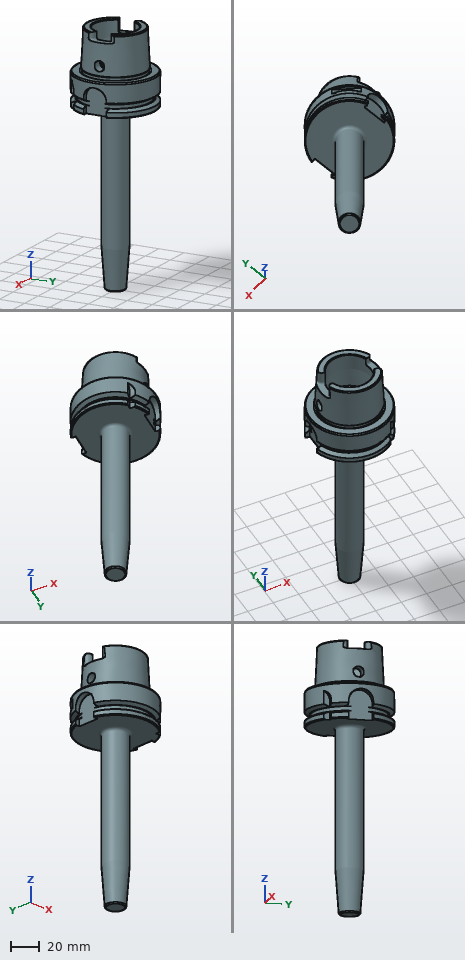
import cadquery as cq
import math

total_length = 192.0
taper_height = 32.0

flange_radius = 31.5
flange_height = 26.0
flange_top_chamfer_width = 0.8
flange_top_chamfer_height = 1.2
flange_bottom_chamfer = 0.8
groove_floor_radius = 27.3
groove_wall_radius = 28.2
groove_middle = 18.2
groove_rim_width = 7.0
groove_wall_angle = 30.0
groove_wall_height = (flange_radius - groove_wall_radius) * math.tan(math.radians(groove_wall_angle))

taper_slope = 1 / 20
taper_base_radius = 24.4
taper_start = 2.3
taper_top_chamfer = 0.8
neck_radius = 23.6
relief_outer_radius = 25.2
relief_depth = 0.8

bore_radius = 17.0
bore_straight_depth = 13.2
bore_lip_chamfer = 0.5
bore_floor_radius = 15.7
bore_floor = 4.5
thread_radius = 9.0
thread_depth = 11.5
thread_chamfer = 0.8

shank_radius = 10.0
shank_fillet = 2.3
tip_radius = 7.7
tip_length = 31.7
tip_chamfer = 1.0

drive_slot_half_width = 6.3
drive_slot_deep = 10.0
drive_slot_shallow = 6.0
drive_corner_radius = 3.3
drive_face_x = 20.5
drive_foot_fillet = 1.7
clamp_hole_radius = 3.8
clamp_hole_height = 9.2

key_slot_half_width = 9.0
key_slot_floor = 26.5
key_slot_top = 4.6
notch_floor_x = 20.2
notch_wall_y = -20.0
notch_radius = 8.5
notch_centre_z = -12.5
flat_distance = 29.8
flat_height = 6.0
flat_centre_z = -7.1
flat_direction = 135


def taper_radius(z):
    return taper_base_radius - taper_slope * z


def revolve(outline):
    """Turn a closed half-section in X and Z about the Z axis."""
    return outline.revolve(360, (0, 0), (0, 1))


def body():
    bottom = taper_height - total_length
    groove_top = -groove_middle + groove_rim_width / 2
    groove_bottom = -groove_middle - groove_rim_width / 2
    top_radius = taper_radius(taper_height)
    fillet_mid = shank_fillet * (1 - math.sqrt(0.5))
    profile = (
        cq.Workplane("XZ")
        .moveTo(0, bottom)
        .lineTo(tip_radius - tip_chamfer, bottom)
        .lineTo(tip_radius, bottom + tip_chamfer)
        .lineTo(shank_radius, bottom + tip_length)
        .lineTo(shank_radius, -flange_height - shank_fillet)
        .threePointArc(
            (shank_radius + fillet_mid, -flange_height - fillet_mid),
            (shank_radius + shank_fillet, -flange_height),
        )
        .lineTo(flange_radius - flange_bottom_chamfer, -flange_height)
        .lineTo(flange_radius, -flange_height + flange_bottom_chamfer)
        .lineTo(flange_radius, groove_bottom)
        .lineTo(groove_wall_radius, groove_bottom + groove_wall_height)
        .lineTo(groove_floor_radius, groove_bottom + groove_wall_height)
        .lineTo(groove_floor_radius, groove_top - groove_wall_height)
        .lineTo(groove_wall_radius, groove_top - groove_wall_height)
        .lineTo(flange_radius, groove_top)
        .lineTo(flange_radius, -flange_top_chamfer_height)
        .lineTo(flange_radius - flange_top_chamfer_width, 0)
        .lineTo(relief_outer_radius, 0)
        .lineTo(neck_radius, -relief_depth)
        .lineTo(neck_radius, taper_start - relief_depth)
        .lineTo(taper_radius(taper_start), taper_start)
        .lineTo(taper_radius(taper_height - taper_top_chamfer), taper_height - taper_top_chamfer)
        .lineTo(top_radius - taper_top_chamfer, taper_height)
        .lineTo(0, taper_height)
        .close()
    )
    return revolve(profile)


def bore():
    profile = [
        (0, bore_floor - thread_depth),
        (thread_radius, bore_floor - thread_depth),
        (thread_radius, bore_floor - thread_chamfer),
        (thread_radius + thread_chamfer, bore_floor),
        (bore_floor_radius, bore_floor),
        (bore_radius, taper_height - bore_straight_depth),
        (bore_radius, taper_height - bore_lip_chamfer),
        (bore_radius + bore_lip_chamfer, taper_height),
        (0, taper_height),
    ]
    return revolve(cq.Workplane("XZ").polyline(profile).close())


def drive_slot(side, depth):
    """Open slot through the taper wall, rounding the wall's outer corners and facing off beyond them."""
    flare_start = drive_face_x - drive_corner_radius
    reach = taper_base_radius
    wide = drive_slot_half_width + drive_corner_radius
    mid = drive_corner_radius * math.sqrt(0.5)
    slot = (
        cq.Workplane("XY", origin=(0, 0, taper_height - depth))
        .moveTo(0, -drive_slot_half_width)
        .lineTo(side * flare_start, -drive_slot_half_width)
        .threePointArc((side * (flare_start + mid), mid - wide), (side * drive_face_x, -wide))
        .lineTo(side * drive_face_x, -reach)
        .lineTo(side * reach, -reach)
        .lineTo(side * reach, reach)
        .lineTo(side * drive_face_x, reach)
        .lineTo(side * drive_face_x, wide)
        .threePointArc((side * (flare_start + mid), wide - mid), (side * flare_start, drive_slot_half_width))
        .lineTo(0, drive_slot_half_width)
        .close()
        .extrude(depth)
    )
    margin = drive_foot_fillet / 2
    foot_zone = cq.selectors.BoxSelector(
        (side * margin, -reach + margin, 0),
        (side * (drive_face_x + margin), reach - margin, taper_height),
    )
    return slot.faces("<Z").edges(foot_zone).fillet(drive_foot_fillet)


def clamp_holes():
    length = 2 * flange_radius
    return (
        cq.Workplane("YZ", origin=(-length / 2, 0, 0))
        .center(0, clamp_hole_height)
        .circle(clamp_hole_radius)
        .extrude(length)
    )


def arched_slot(floor_x, centre_y, half_width, arch_z):
    """Round-topped slot open to +X and to the underside of the flange."""
    return (
        cq.Workplane("YZ", origin=(floor_x, 0, 0))
        .moveTo(centre_y - half_width, -flange_height)
        .lineTo(centre_y - half_width, arch_z)
        .threePointArc((centre_y, arch_z + half_width), (centre_y + half_width, arch_z))
        .lineTo(centre_y + half_width, -flange_height)
        .close()
        .extrude(flange_radius)
    )


def rim_flat():
    """Flat pocket in the rim, facing halfway between -X and +Y."""
    size = flange_radius
    block = cq.Workplane("XY").box(size, 2 * size, flat_height)
    block = block.translate((flat_distance + size / 2, 0, flat_centre_z))
    return block.rotate((0, 0, 0), (0, 0, 1), flat_direction)


key_slot = arched_slot(key_slot_floor, 0, key_slot_half_width, -key_slot_top - key_slot_half_width)
notch = arched_slot(notch_floor_x, notch_wall_y - notch_radius, notch_radius, notch_centre_z)

result = (
    body()
    .cut(bore())
    .cut(drive_slot(-1, drive_slot_deep))
    .cut(drive_slot(1, drive_slot_shallow))
    .cut(clamp_holes())
    .cut(key_slot)
    .cut(key_slot.mirror("YZ"))
    .cut(notch)
    .cut(rim_flat())
)